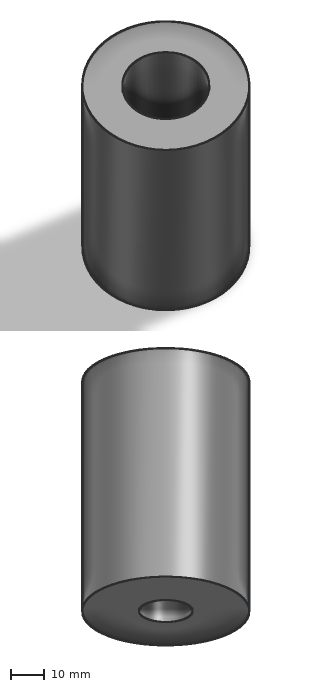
import cadquery as cq

outer_diameter = 50.0
height = 75.0
counterbore_diameter = 26.0
through_hole_diameter = 16.0

counterbore_depth = height / 2


def make_body():
    """Plain cylinder standing on the XY plane, centred on the Z axis."""
    return cq.Workplane("XY").circle(outer_diameter / 2).extrude(height)


def cut_stepped_bore(body):
    """Through hole along the axis, counterbored from the top face."""
    return body.faces(">Z").workplane().cboreHole(
        through_hole_diameter, counterbore_diameter, counterbore_depth
    )


result = cut_stepped_bore(make_body())